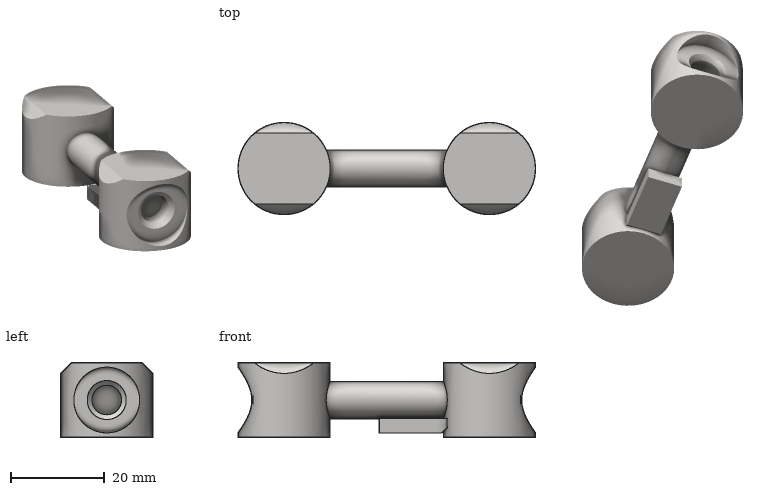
import cadquery as cq

overall_length = 63.65
head_diameter = 19.7
head_height = 16.0
top_chamfer = 2.3
rod_diameter = 8.0
socket_depth = 11.95
counterbore_diameter = 14.05
counterbore_floor = 6.6
hole_diameter = 6.3
countersink_diameter = 8.35
key_width = 7.65
key_length = 15.15
key_bottom = 0.9
key_overlap = 0.05
key_chamfer = 1.8
key_insertion = 0.65

head_radius = head_diameter / 2
head_offset = overall_length / 2 - head_radius
axis_height = head_height / 2
rod_half_length = head_offset - head_radius + socket_depth
countersink_depth = (countersink_diameter - hole_diameter) / 2
key_top = axis_height - rod_diameter / 2 + key_overlap
key_contact_x = head_offset - (head_radius**2 - (key_width / 2) ** 2) ** 0.5
key_end_x = key_contact_x + key_insertion


def cylinder_along_x(diameter, start_x, end_x):
    """Cylinder on the rod axis between two X positions."""
    return (
        cq.Workplane("YZ", origin=(start_x, 0, axis_height))
        .circle(diameter / 2)
        .extrude(end_x - start_x)
    )


def make_rod():
    """Round rod with a flat key under its +X end."""
    rod = cylinder_along_x(rod_diameter, -rod_half_length, rod_half_length)
    key = (
        cq.Workplane("XY", origin=(key_end_x - key_length / 2, 0, key_bottom))
        .box(key_length, key_width, key_top - key_bottom, centered=(True, True, False))
        .edges("|Y and >X and <Z")
        .chamfer(key_chamfer)
    )
    return rod.union(key)


def head_blank():
    """Upright cylinder at the origin with two flats sloping off its top."""
    blank = cq.Workplane("XY").circle(head_radius).extrude(head_height)
    profile = (
        cq.Workplane("YZ")
        .rect(head_diameter, head_height)
        .extrude(head_radius, both=True)
        .translate((0, 0, axis_height))
        .edges("|X and >Z")
        .chamfer(top_chamfer)
    )
    return blank.intersect(profile)


def screw_hole():
    """Counterbored, countersunk hole entering from -X and ending at the rod in the socket."""
    counterbore = cylinder_along_x(counterbore_diameter, -head_radius, -counterbore_floor)
    hole = cylinder_along_x(hole_diameter, -head_radius, head_radius - socket_depth)
    countersink = (
        cq.Workplane("YZ", origin=(-counterbore_floor, 0, axis_height))
        .circle(countersink_diameter / 2)
        .workplane(offset=countersink_depth)
        .circle(hole_diameter / 2)
        .loft(ruled=True)
    )
    return counterbore.union(hole).union(countersink)


def make_head(side, rod):
    """Head at the -X (side = -1) or +X (side = 1) end, with a socket fitting the rod and key."""
    head = head_blank().cut(screw_hole())
    if side > 0:
        head = head.mirror("YZ")
    return head.translate((side * head_offset, 0, 0)).cut(rod)


rod = make_rod()
heads = [make_head(side, rod) for side in (-1, 1)]

result = cq.Compound.makeCompound([rod.val(), *[head.val() for head in heads]])